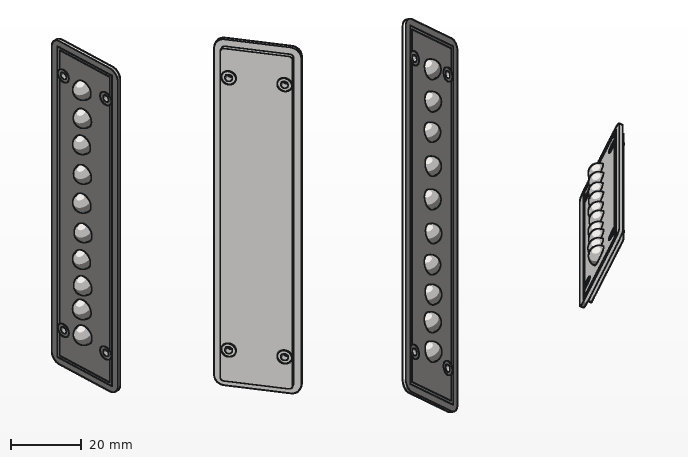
import cadquery as cq

flange_width = 25.4
flange_height = 112.4
flange_thickness = 1.1
flange_corner_radius = 3.0

block_width = 21.0
block_height = 108.0
block_thickness = 1.3
block_corner_radius = 1.0
block_back = flange_thickness + block_thickness

groove_width = 0.9
groove_depth = 0.06

screw_spacing_x = 16.3
screw_spacing_z = 88.5
screw_center_x = -0.1
screw_center_z = 0.6
screw_hole_diameter = 2.1
counterbore_diameter = 4.3
counterbore_depth = 0.1
pad_diameter = counterbore_diameter
pad_thickness = 0.3
pad_back = block_back + pad_thickness

domes = [
    (-0.6, 43.7, 6.0),
    (-0.3, 34.1, 6.0),
    (-0.7, 24.7, 5.8),
    (-0.3, 14.6, 5.8),
    (-0.6, 4.5, 6.0),
    (-0.1, -5.6, 5.8),
    (-0.7, -15.2, 5.8),
    (-0.2, -24.1, 6.0),
    (-0.6, -32.5, 6.1),
    (-0.2, -41.3, 6.1),
]


def sketch_plane(y):
    """XZ workplane at depth y; extruding from it goes forward, toward -Y."""
    return cq.Workplane("XZ", origin=(0, y, 0))


def plate(width, height, y_front, y_back):
    """Sharp-cornered plate centred on the Y axis."""
    return sketch_plane(y_back).rect(width, height).extrude(y_back - y_front)


def cylinders(points, diameter, y_front, y_back):
    """Round bars along Y at the given (X, Z) points."""
    circles = sketch_plane(y_back).pushPoints(points).circle(diameter / 2)
    return circles.extrude(y_back - y_front)


def groove():
    """Rectangular ring of material removed by the groove."""
    inner_width = block_width - 2 * groove_width
    inner_height = block_height - 2 * groove_width
    outer = plate(block_width, block_height, 0, groove_depth)
    return outer.cut(plate(inner_width, inner_height, 0, groove_depth))


def dome(x, z, diameter):
    """Half ball standing on the front face, revolved about an axis along Y."""
    radius = diameter / 2
    quarter_disc = cq.Workplane("XY").lineTo(radius, 0).radiusArc((0, -radius), radius).close()
    half_ball = quarter_disc.revolve(360, (0, 0, 0), (0, 1, 0))
    return half_ball.translate((x, 0, z))


screw_points = [
    (screw_center_x + side * screw_spacing_x / 2, screw_center_z + end * screw_spacing_z / 2)
    for side in (-1, 1)
    for end in (-1, 1)
]

flange = plate(flange_width, flange_height, 0, flange_thickness)
flange = flange.edges("|Y").fillet(flange_corner_radius)
block = plate(block_width, block_height, flange_thickness, block_back)
block = block.edges("|Y").fillet(block_corner_radius)
pads = cylinders(screw_points, pad_diameter, block_back, pad_back)
result = flange.union(block).union(pads)

result = result.cut(groove())
result = result.cut(cylinders(screw_points, counterbore_diameter, 0, counterbore_depth))
result = result.cut(cylinders(screw_points, screw_hole_diameter, 0, pad_back))

for x, z, diameter in domes:
    result = result.union(dome(x, z, diameter))